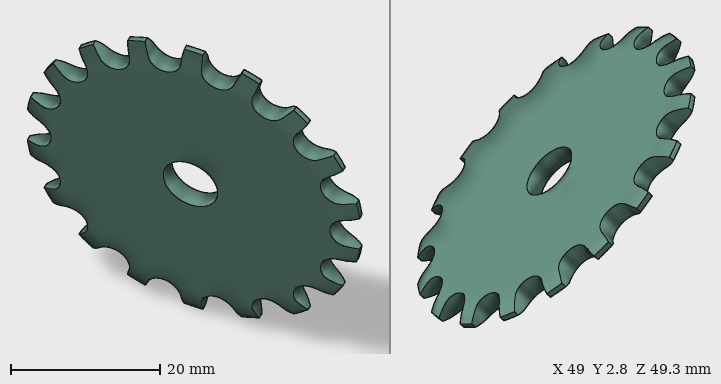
import math

import cadquery as cq

tooth_count = 18
chain_pitch = 8.0
roller_diameter = 5.0
thickness = 2.8
tip_radius = 24.65
bore_diameter = 8.0
tip_half_width = 1.363
tooth_side_radius = 8.0
tip_thickness = 0.8
flank_radius = 14.0

half_pitch_angle = math.pi / tooth_count
pitch_radius = chain_pitch / (2 * math.sin(half_pitch_angle))
seat_radius = roller_diameter / 2
half_thickness = thickness / 2
half_tip = tip_thickness / 2
side_drop = half_thickness - half_tip
side_length = math.sqrt(2 * tooth_side_radius * side_drop - side_drop**2)
face_radius = tip_radius - side_length


def make_blank():
    """Disc with flat faces and a rim crowned by arcs tangent to those faces."""
    mid_radius = face_radius + side_length / 2
    mid_drop = tooth_side_radius - math.sqrt(tooth_side_radius**2 - (side_length / 2) ** 2)
    mid_half = half_thickness - mid_drop
    return (
        cq.Workplane("YZ")
        .moveTo(-half_thickness, 0)
        .lineTo(-half_thickness, face_radius)
        .threePointArc((-mid_half, mid_radius), (-half_tip, tip_radius))
        .lineTo(half_tip, tip_radius)
        .threePointArc((mid_half, mid_radius), (half_thickness, face_radius))
        .lineTo(half_thickness, 0)
        .close()
        .revolve(360, (0, 0, 0), (1, 0, 0))
    )


def make_gap_cutter():
    """Tooth gap centred on +Z: a roller seat tangent to the convex tooth flanks."""
    corner_angle = half_pitch_angle - math.asin(tip_half_width / tip_radius)
    corner_x = tip_radius * math.sin(corner_angle)
    corner_z = tip_radius * math.cos(corner_angle)

    rise = corner_z - pitch_radius
    corner_distance = math.hypot(corner_x, rise)
    centre_distance = seat_radius + flank_radius
    cos_at_seat = (corner_distance**2 + centre_distance**2 - flank_radius**2) / (
        2 * corner_distance * centre_distance
    )
    flank_direction = math.atan2(rise, corner_x) - math.acos(cos_at_seat)
    flank_centre_x = centre_distance * math.cos(flank_direction)
    flank_centre_z = pitch_radius + centre_distance * math.sin(flank_direction)

    seat_x = seat_radius * math.cos(flank_direction)
    seat_z = pitch_radius + seat_radius * math.sin(flank_direction)

    seat_end_angle = flank_direction + math.pi
    corner_end_angle = math.atan2(corner_z - flank_centre_z, corner_x - flank_centre_x)
    flank_mid_angle = (seat_end_angle + corner_end_angle) / 2
    flank_mid_x = flank_centre_x + flank_radius * math.cos(flank_mid_angle)
    flank_mid_z = flank_centre_z + flank_radius * math.sin(flank_mid_angle)

    outer_z = tip_radius + seat_radius

    return (
        cq.Workplane("XZ", origin=(0, half_thickness, 0))
        .moveTo(-corner_x, outer_z)
        .lineTo(-corner_x, corner_z)
        .threePointArc((-flank_mid_x, flank_mid_z), (-seat_x, seat_z))
        .threePointArc((0, pitch_radius - seat_radius), (seat_x, seat_z))
        .threePointArc((flank_mid_x, flank_mid_z), (corner_x, corner_z))
        .lineTo(corner_x, outer_z)
        .close()
        .extrude(thickness)
    )


def cut_tooth_gaps(body):
    """Cut one gap midway between each pair of neighbouring teeth."""
    cutter = make_gap_cutter()
    for index in range(tooth_count):
        gap_angle = math.degrees((2 * index + 1) * half_pitch_angle)
        body = body.cut(cutter.rotate((0, 0, 0), (0, 1, 0), gap_angle))
    return body


def cut_bore(body):
    """Plain through bore on the axis."""
    back_face = cq.Workplane("XZ", origin=(0, half_thickness, 0))
    bore = back_face.circle(bore_diameter / 2).extrude(thickness)
    return body.cut(bore)


result = cut_bore(cut_tooth_gaps(make_blank()))